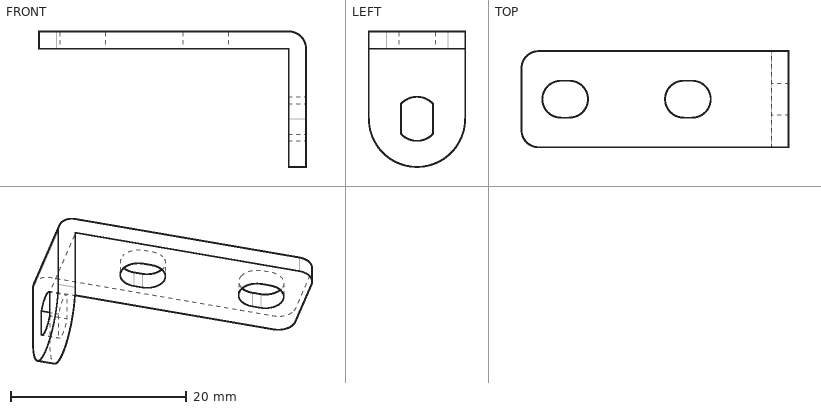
import cadquery as cq

length = 30.5
width = 11.0
height = 15.5
thickness = 2.0

bend_radius = thickness
corner_radius = 2.0

slot_length = 5.2
slot_width = 4.18
first_slot_from_end = 5.0
slot_spacing = 14.0

leg_hole_diameter = 5.0
leg_hole_width = 3.6

leg_inner_x = length - thickness
tip_radius = width / 2
tip_center_z = tip_radius


def make_plate():
    """Horizontal plate with rounded free corners."""
    plate = cq.Workplane("XY").box(length, width, thickness, centered=(False, True, False))
    plate = plate.translate((0, 0, height - thickness))
    return plate.edges("|Z and <X").fillet(corner_radius)


def make_leg():
    """Vertical leg ending in a full half-round tip."""
    return (
        cq.Workplane("YZ", origin=(leg_inner_x, 0, 0))
        .moveTo(-width / 2, height - thickness)
        .lineTo(-width / 2, tip_center_z)
        .threePointArc((0, tip_center_z - tip_radius), (width / 2, tip_center_z))
        .lineTo(width / 2, height - thickness)
        .close()
        .extrude(thickness)
    )


def make_plate_slots():
    """Cutters for the two round-ended slots along the plate."""
    second_slot_x = first_slot_from_end + slot_spacing
    return (
        cq.Workplane("XY", origin=(0, 0, height - thickness))
        .pushPoints([(first_slot_from_end, 0), (second_slot_x, 0)])
        .slot2D(slot_length, slot_width)
        .extrude(thickness)
    )


def make_leg_hole():
    """Cutter for the flat-sided hole, concentric with the leg tip."""
    hole_plane = cq.Workplane("YZ", origin=(leg_inner_x, 0, tip_center_z))
    cylinder = hole_plane.circle(leg_hole_diameter / 2).extrude(thickness)
    flats = hole_plane.rect(leg_hole_width, leg_hole_diameter).extrude(thickness)
    return cylinder.intersect(flats)


bracket = make_plate().union(make_leg())
bracket = bracket.edges("|Y and >X and >Z").fillet(bend_radius)
result = bracket.cut(make_plate_slots()).cut(make_leg_hole())